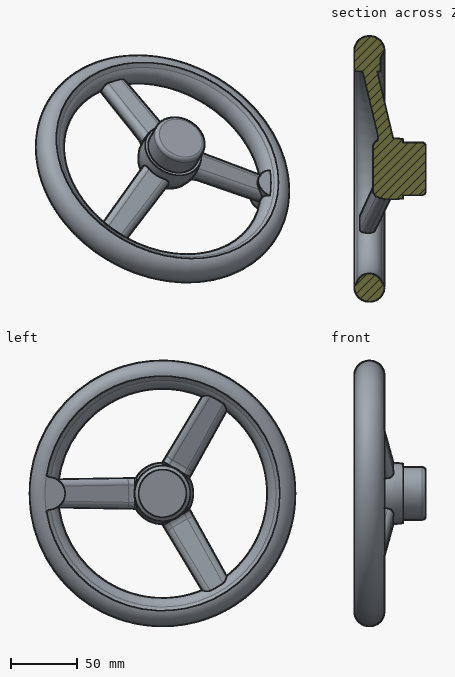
import cadquery as cq
import math

wheel_radius = 100.0
grip_radius = 11.5
core_radius = 10.0
tube_centre = wheel_radius - grip_radius
lip_outer_radius = 88.2
lip_inner_radius = 85.2

shank_radius = 20.0
shank_end = 42.5
shank_edge_fillet = 3.0
hub_front = 2.7
hub_front_radius = 20.9
hub_crown_start = 11.0
hub_crown_start_radius = 22.8
hub_widest = 18.0
hub_widest_radius = 23.2
hub_back_radius = 22.4
hub_back = 25.3
hub_chamfer_depth = 2.0
hub_face_radius = 17.9

spoke_count = 3
spoke_root_radius = 12.0
spoke_tip_radius = tube_centre - 2.0
spoke_slope = 0.238
spoke_root_width = 23.8
spoke_tip_width = 21.3
spoke_thickness = 11.0
spoke_edge_fillet = 5.1
spoke_back_at_hub = 18.0

flare_start_radius = 25.6
flare_end_radius = 21.2
flare_radius = 8.0

boss_radius = 12.2
boss_centre = 85.4
boss_back = 8.5
boss_shoulder_half_width = 14.5


def half_width_at(tube_radius, radius):
    """Half of the X width of a round tube at a distance from the wheel axis."""
    return math.sqrt(tube_radius**2 - (radius - tube_centre) ** 2)


def make_rim():
    lip_outer_x = half_width_at(grip_radius, lip_outer_radius)
    lip_inner_x = half_width_at(core_radius, lip_inner_radius)
    profile = (
        cq.Workplane("XY")
        .moveTo(-lip_outer_x, lip_outer_radius)
        .threePointArc((0, wheel_radius), (lip_outer_x, lip_outer_radius))
        .lineTo(lip_inner_x, lip_inner_radius)
        .threePointArc((0, tube_centre - core_radius), (-lip_inner_x, lip_inner_radius))
        .close()
    )
    return profile.revolve(360, (0, 0, 0), (1, 0, 0))


def make_hub():
    profile = (
        cq.Workplane("XY")
        .moveTo(hub_front, 0)
        .lineTo(hub_front, hub_face_radius)
        .lineTo(hub_front + hub_chamfer_depth, hub_front_radius)
        .lineTo(hub_crown_start, hub_crown_start_radius)
        .threePointArc((hub_widest, hub_widest_radius), (hub_back, hub_back_radius))
        .lineTo(hub_back, shank_radius)
        .lineTo(shank_end, shank_radius)
        .lineTo(shank_end, 0)
        .close()
    )
    hub = profile.revolve(360, (0, 0, 0), (1, 0, 0))
    return hub.faces(">X").edges().fillet(shank_edge_fillet)


def make_spoke():
    """The spoke along +Y: a flat bar with rounded edges, narrowing towards the rim and flared at the hub."""
    lean = math.atan(spoke_slope)
    length = (spoke_tip_radius - spoke_root_radius) / math.cos(lean)
    root_back_x = spoke_back_at_hub + spoke_slope * (hub_widest_radius - spoke_root_radius)
    root = (root_back_x, spoke_root_radius, 0)
    outward = (-math.sin(lean), math.cos(lean), 0)
    forward = (-math.cos(lean), -math.sin(lean), 0)

    outline = [
        (0, -spoke_root_width / 2),
        (length, -spoke_tip_width / 2),
        (length, spoke_tip_width / 2),
        (0, spoke_root_width / 2),
    ]
    back_plane = cq.Workplane(cq.Plane(origin=root, xDir=outward, normal=forward))
    bar = back_plane.polyline(outline).close().extrude(2 * spoke_thickness)

    front_face_shift = spoke_thickness * math.sin(lean)
    flare_start = (flare_start_radius + front_face_shift - spoke_root_radius) / math.cos(lean)
    flare_end = (flare_end_radius + front_face_shift - spoke_root_radius) / math.cos(lean)
    flare_angle = math.asin((flare_start - flare_end) / flare_radius)
    flare_rise = flare_radius * (1 - math.cos(flare_angle))
    side_plane = cq.Workplane(cq.Plane(origin=root, xDir=outward, normal=(0, 0, -1)))
    side_profile = (
        side_plane.moveTo(0, 0)
        .lineTo(length, 0)
        .lineTo(length, -spoke_thickness)
        .lineTo(flare_start, -spoke_thickness)
        .tangentArcPoint((flare_end, -spoke_thickness - flare_rise), relative=False)
        .lineTo(0, -spoke_thickness - flare_rise)
        .close()
        .extrude(spoke_root_width, both=True)
    )
    bar = bar.intersect(side_profile)
    between_ends = cq.selectors.BoxSelector(
        (-wheel_radius, spoke_root_radius, -spoke_root_width),
        (wheel_radius, tube_centre - core_radius, spoke_root_width),
    )
    return bar.edges("not |Z").edges(between_ends).fillet(spoke_edge_fillet)


def make_boss():
    """A round pad, flush with the front of the grip, with shoulders widening up to the lip."""
    depth = grip_radius + boss_back
    front_plane = cq.Workplane("YZ", origin=(-grip_radius, 0, 0))
    shoulders = [
        (lip_inner_radius, -boss_radius),
        (tube_centre, -boss_shoulder_half_width),
        (tube_centre, boss_shoulder_half_width),
        (lip_inner_radius, boss_radius),
    ]
    pad = front_plane.center(boss_centre, 0).circle(boss_radius).extrude(depth)
    pad = pad.union(front_plane.polyline(shoulders).close().extrude(depth))
    return pad.intersect(front_plane.circle(tube_centre).extrude(depth))


result = make_hub()
spoke = make_spoke()
for index in range(spoke_count):
    result = result.union(spoke.rotate((0, 0, 0), (1, 0, 0), index * 360 / spoke_count))
result = result.union(make_rim()).union(make_boss())